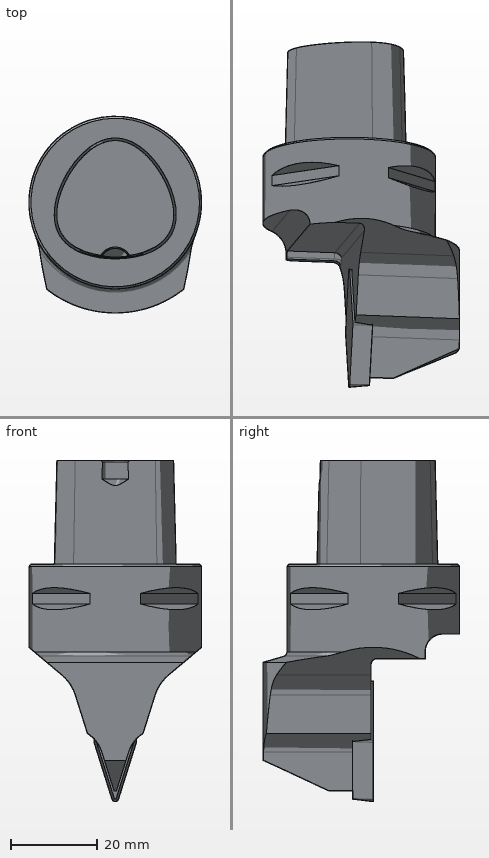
import cadquery as cq
import math


taper_height = 24.0
taper_mean_radius = 14.0
taper_slope = 1 / 40
lobe_height = 0.95
lobe_half_angle = 21.5
points_per_patch = 9

notch_radius = 3.5
notch_center_y = -14.1
notch_depth = 4.3
notch_tip_slope = 0.75
notch_chamfer = 0.3

flange_radius = 20.0
flange_chamfer = 0.5
groove_z = -8.0
groove_floor_distance = 17.65
groove_floor_width = 2.4
groove_flank_angle = 30.0

flange_bottom_z = -20.35
neck_cone_z = -21.1
head_radius = 25.58
shoulder_z = -22.72
nose_cone_top_z = -45.4
nose_flat_radius = 10.3
head_bottom_z = -52.5

shoulder_angle = 40.0
shoulder_start_z = -19.25
waist_half_width = 6.45
waist_z = -39.2
wedge_fillet_radius = 10.0
step_half_width = 3.1
step_bottom_z = -43.5
wedge_reach = 30.0

insert_tip_z = -55.0
insert_inscribed_radius = 9.525 / 2
insert_half_angle = 17.5
insert_nose_radius = 0.8
insert_thickness = 4.76
insert_clearance = 7.0

pocket_wall_y = -0.5
pocket_step_x = 14.0
pocket_deep_floor_z = -20.2
pocket_rim_crease_z = -21.5
pocket_rim_floor_z = -21.9
pocket_upper_slope = 30.0
pocket_lower_slope = 23.0
pocket_fillet = 1.4

relief_y = 12.05
relief_z = -16.2
relief_radius = 4.0


def taper_section(z):
    """Closed outline of the trochoid polygon at height z, split at the ends of the lobes."""
    radius = taper_mean_radius - taper_slope * z

    def point(angle):
        a = math.radians(angle)
        across = radius * math.sin(a) - lobe_height * math.sin(2 * a)
        along = radius * math.cos(a) + lobe_height * math.cos(2 * a)
        return cq.Vector(across, along, z)

    def tangent(angle):
        a = math.radians(angle)
        across = radius * math.cos(a) - 2 * lobe_height * math.cos(2 * a)
        along = -radius * math.sin(a) - 2 * lobe_height * math.sin(2 * a)
        return cq.Vector(across, along, 0)

    edges = []
    for lobe in (0, 120, 240):
        start = lobe - lobe_half_angle
        end = lobe + lobe_half_angle
        for first, last in ((start, end), (end, start + 120)):
            step = (last - first) / (points_per_patch - 1)
            points = [point(first + i * step) for i in range(points_per_patch)]
            edges.append(cq.Edge.makeSpline(points, tangents=[tangent(first), tangent(last)]))
    return cq.Wire.assembleEdges(edges)


def taper():
    lower = taper_section(0)
    upper = taper_section(taper_height)
    return cq.Workplane(cq.Solid.makeLoft([lower, upper], True))


def notch():
    """Drilled half-round notch with a conical bottom and a chamfered mouth."""
    bottom = taper_height - notch_depth
    profile = (
        cq.Workplane("XZ")
        .moveTo(0, bottom - notch_tip_slope * notch_radius)
        .lineTo(notch_radius, bottom)
        .lineTo(notch_radius, taper_height - notch_chamfer)
        .lineTo(notch_radius + notch_chamfer, taper_height)
        .lineTo(0, taper_height)
        .close()
    )
    return profile.revolve(360, (0, 0, 0), (0, 1, 0)).translate((0, notch_center_y, 0))


def flange():
    """Chamfered cylinder that also forms the core of the head."""
    return (
        cq.Workplane("XY", origin=(0, 0, nose_cone_top_z))
        .circle(flange_radius)
        .extrude(-nose_cone_top_z)
        .faces(">Z")
        .chamfer(flange_chamfer)
    )


def head():
    """Filleted neck, conical shoulder, cylinder and blunt nose turned about Z, behind the pocket wall."""
    cone_angle = math.atan((neck_cone_z - shoulder_z) / (head_radius - flange_radius))
    tangent_length = flange_bottom_z - neck_cone_z
    half_turn = (math.pi / 2 - cone_angle) / 2
    fillet_radius = tangent_length / math.tan(half_turn)
    fillet_middle = (
        flange_radius + fillet_radius * (1 - math.cos(half_turn)),
        flange_bottom_z - fillet_radius * math.sin(half_turn),
    )
    fillet_end = (
        flange_radius + tangent_length * math.cos(cone_angle),
        neck_cone_z - tangent_length * math.sin(cone_angle),
    )
    turned = (
        cq.Workplane("XZ")
        .moveTo(0, flange_bottom_z)
        .lineTo(flange_radius, flange_bottom_z)
        .threePointArc(fillet_middle, fillet_end)
        .lineTo(head_radius, shoulder_z)
        .lineTo(head_radius, nose_cone_top_z)
        .lineTo(nose_flat_radius, head_bottom_z)
        .lineTo(0, head_bottom_z)
        .close()
        .revolve(360, (0, 0, 0), (0, 1, 0))
    )
    ahead_of_wall = cq.Workplane("XY", origin=(-wedge_reach, pocket_wall_y, insert_tip_z)).box(
        2 * wedge_reach, wedge_reach, -insert_tip_z, centered=False
    )
    return turned.cut(ahead_of_wall)


def wedge():
    """Prism along Y that narrows the head: sloped shoulders, a straight waist and a thin tip."""
    shoulder_slope = math.tan(math.radians(shoulder_angle))
    flank_slope = math.tan(math.radians(insert_half_angle))

    corner_x = (
        waist_half_width + flank_slope * (shoulder_start_z - shoulder_slope * flange_radius - waist_z)
    ) / (1 - flank_slope * shoulder_slope)
    corner_z = shoulder_start_z - shoulder_slope * (flange_radius - corner_x)
    turn = 90 - insert_half_angle - shoulder_angle
    trim = wedge_fillet_radius * math.tan(math.radians(turn / 2))
    fillet_top = (
        corner_x + trim * math.cos(math.radians(shoulder_angle)),
        corner_z + trim * math.sin(math.radians(shoulder_angle)),
    )
    fillet_bottom = (
        corner_x - trim * math.sin(math.radians(insert_half_angle)),
        corner_z - trim * math.cos(math.radians(insert_half_angle)),
    )
    tip_half_width = step_half_width - flank_slope * (step_bottom_z - head_bottom_z)
    wide_z = shoulder_start_z + shoulder_slope * (wedge_reach - flange_radius)
    half = (
        cq.Workplane("XZ", origin=(0, wedge_reach, 0))
        .moveTo(0, head_bottom_z)
        .lineTo(tip_half_width, head_bottom_z)
        .lineTo(step_half_width, step_bottom_z)
        .tangentArcPoint((waist_half_width, waist_z), relative=False)
        .lineTo(*fillet_bottom)
        .tangentArcPoint(fillet_top, relative=False)
        .lineTo(wedge_reach, wide_z)
        .lineTo(wedge_reach, 0)
        .lineTo(0, 0)
        .close()
        .extrude(2 * wedge_reach)
    )
    return half.union(half.mirror("YZ"))


def gripper_groove(angle):
    """Straight groove with sloped flanks across the flange, facing the given direction."""
    overshoot = flange_radius - groove_floor_distance + 1
    mouth_half = groove_floor_width / 2 + overshoot * math.tan(math.radians(groove_flank_angle))
    inner = groove_floor_distance
    outer = groove_floor_distance + overshoot
    return (
        cq.Workplane("XZ")
        .polyline([
            (inner, groove_z - groove_floor_width / 2),
            (outer, groove_z - mouth_half),
            (outer, groove_z + mouth_half),
            (inner, groove_z + groove_floor_width / 2),
        ])
        .close()
        .extrude(flange_radius, both=True)
        .rotate((0, 0, 0), (0, 0, 1), angle)
    )


def chip_pocket():
    """Clears the head ahead of the insert; a sloped step leaves the floor shallower along a rim at +X."""
    crease_x = pocket_step_x + (pocket_deep_floor_z - pocket_rim_crease_z) * math.tan(
        math.radians(pocket_upper_slope)
    )
    rim_x = crease_x + (pocket_rim_crease_z - pocket_rim_floor_z) * math.tan(math.radians(pocket_lower_slope))
    return (
        cq.Workplane("XZ", origin=(0, pocket_wall_y, 0))
        .polyline([
            (-wedge_reach, insert_tip_z),
            (-wedge_reach, pocket_deep_floor_z),
            (pocket_step_x, pocket_deep_floor_z),
            (crease_x, pocket_rim_crease_z),
            (rim_x, pocket_rim_floor_z),
            (wedge_reach, pocket_rim_floor_z),
            (wedge_reach, insert_tip_z),
        ])
        .close()
        .extrude(-wedge_reach)
        .faces("<Y")
        .edges("not (<X or >X or <Z)")
        .fillet(pocket_fillet)
    )


def back_relief():
    height = relief_z - insert_tip_z
    return (
        cq.Workplane("XY", origin=(-wedge_reach, relief_y, insert_tip_z))
        .box(2 * wedge_reach, wedge_reach, height, centered=False)
        .edges(">Z and <Y")
        .fillet(relief_radius)
    )


def insert_body():
    """Rhombic insert, rake face on Y = 0, tapering with its clearance angle towards -Y."""
    half_angle = math.radians(insert_half_angle)
    half_length = insert_inscribed_radius / math.sin(half_angle)
    half_width = insert_inscribed_radius / math.cos(half_angle)
    sharp_tip_z = insert_tip_z + insert_nose_radius - insert_nose_radius / math.sin(half_angle)
    center_z = sharp_tip_z + half_length
    outline = (
        cq.Sketch()
        .polygon([
            (0, -half_length),
            (half_width, 0),
            (0, half_length),
            (-half_width, 0),
            (0, -half_length),
        ])
        .vertices()
        .fillet(insert_nose_radius)
    )
    return (
        cq.Workplane("XZ", origin=(0, 0, center_z))
        .placeSketch(outline)
        .extrude(insert_thickness, taper=insert_clearance)
    )


insert = insert_body()

holder = flange().union(head()).intersect(wedge())
holder = holder.cut(chip_pocket()).cut(back_relief())
for groove_angle in (45, 135, 225, 315):
    holder = holder.cut(gripper_groove(groove_angle))
holder = holder.union(taper()).cut(notch()).cut(insert)

result = cq.Compound.makeCompound([holder.solids().val(), insert.solids().val()])